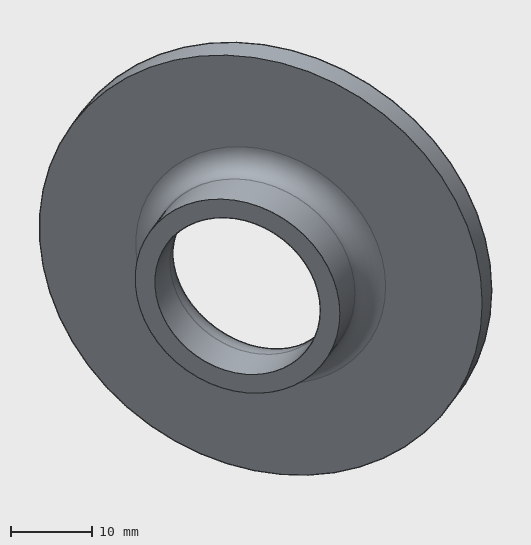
import cadquery as cq

disc_diameter = 58.0
disc_thickness = 3.55
total_depth = 12.0
neck_diameter = 26.8
bore_diameter = 21.65
root_fillet = 2.95
bore_rounding = 6.5

disc_radius = disc_diameter / 2
neck_radius = neck_diameter / 2
bore_radius = bore_diameter / 2

back_y = total_depth / 2
front_y = -back_y
disc_front_y = back_y - disc_thickness

half_section = (
    cq.Workplane("XY")
    .moveTo(bore_radius, front_y)
    .lineTo(neck_radius, front_y)
    .lineTo(neck_radius, disc_front_y - root_fillet)
    .radiusArc((neck_radius + root_fillet, disc_front_y), root_fillet)
    .lineTo(disc_radius, disc_front_y)
    .lineTo(disc_radius, back_y)
    .lineTo(bore_radius + bore_rounding, back_y)
    .radiusArc((bore_radius, back_y - bore_rounding), -bore_rounding)
    .close()
)

result = half_section.revolve(360, (0, 0, 0), (0, 1, 0))